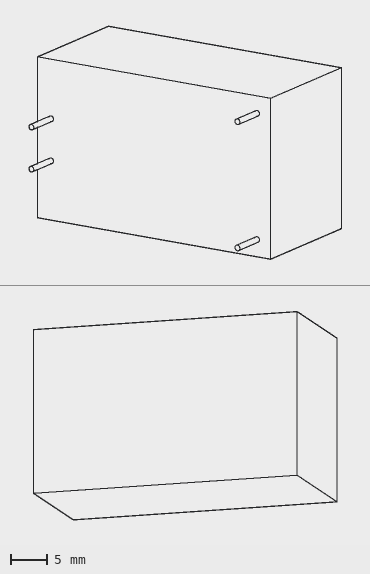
import cadquery as cq

LENGTH = 38.0
HEIGHT = 23.0
OVERALL_DEPTH = 23.0
PIN_LENGTH = 4.98
HOUSING_DEPTH = OVERALL_DEPTH - PIN_LENGTH

PIN_DIAMETER = 0.8
PIN_PITCH = 6.0
PIN_EDGE_OFFSET = 2.2
LEFT_PIN_X = -LENGTH / 2 + PIN_EDGE_OFFSET
RIGHT_PIN_X = -LEFT_PIN_X
INNER_PIN_Z = PIN_PITCH / 2
OUTER_PIN_Z = INNER_PIN_Z + PIN_PITCH
PIN_CENTRES = [
    (LEFT_PIN_X, INNER_PIN_Z),
    (LEFT_PIN_X, -INNER_PIN_Z),
    (RIGHT_PIN_X, OUTER_PIN_Z),
    (RIGHT_PIN_X, -OUTER_PIN_Z),
]


def make_housing():
    """Plain rectangular block behind the pin face."""
    return cq.Workplane("XY").box(LENGTH, HOUSING_DEPTH, HEIGHT, centered=(True, False, True))


def make_pin(x, z):
    """Round pin running from the pin face toward -Y."""
    return cq.Workplane("XZ").center(x, z).circle(PIN_DIAMETER / 2).extrude(PIN_LENGTH)


housing = make_housing()
pins = [make_pin(x, z) for x, z in PIN_CENTRES]

result = cq.Compound.makeCompound([housing.val(), *[pin.val() for pin in pins]])